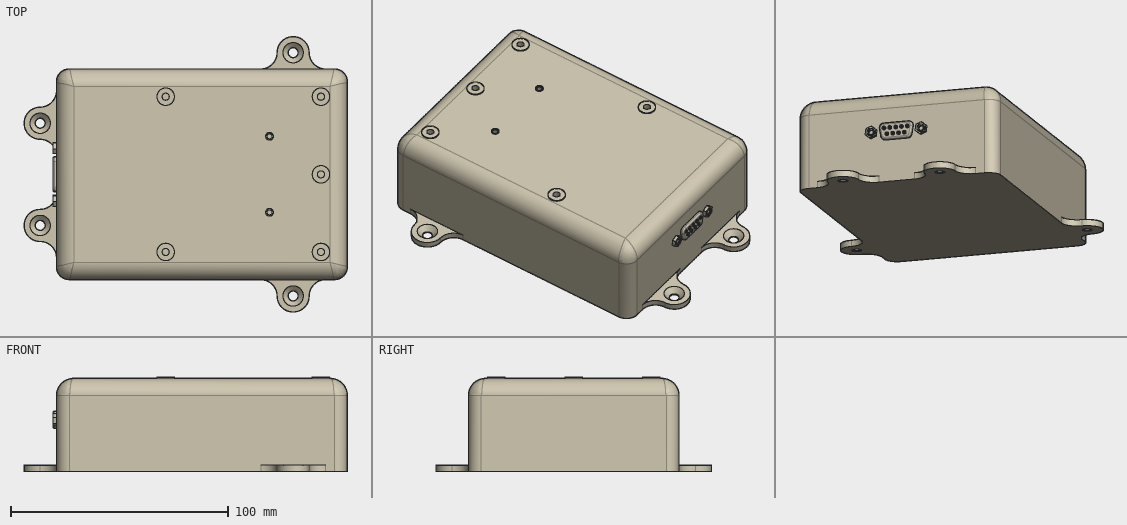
import cadquery as cq
import math

OVERALL_LENGTH = 149.0
OVERALL_WIDTH = 127.0
OVERALL_HEIGHT = 43.5

EAR_RADIUS = 7.5
EAR_REACH = 2 * EAR_RADIUS
EAR_THICKNESS = 3.0
EAR_INSET = 25.0
EAR_HOLE_DIAMETER = 4.5
EAR_SINK_DIAMETER = 9.4
EAR_SINK_ANGLE = 90.0

SCREW_PAD_HEIGHT = 0.5
BODY_LENGTH = OVERALL_LENGTH - EAR_REACH
BODY_WIDTH = OVERALL_WIDTH - 2 * EAR_REACH
BODY_HEIGHT = OVERALL_HEIGHT - SCREW_PAD_HEIGHT
CORNER_RADIUS = 6.0
TOP_EDGE_RADIUS = 8.0

SCREW_INSET = 12.2
SCREW_SPACING = 71.5
SCREW_PAD_DIAMETER = 8.0
SCREW_HOLE_DIAMETER = 3.3
SCREW_HOLE_DEPTH = 3.7

LIGHT_INSET = 35.9
LIGHT_SPACING = 35.0
LIGHT_MOUTH_DIAMETER = 3.6
LIGHT_MOUTH_DEPTH = 0.5
LIGHT_HOLE_DIAMETER = 2.4
LIGHT_HOLE_DEPTH = 3.0

CONNECTOR_HEIGHT = 23.8
CONNECTOR_REACH = 1.6
SHELL_TOP_WIDTH = 17.1
SHELL_HEIGHT = 8.0
SHELL_SIDE_ANGLE = 10.0
SHELL_CORNER_RADIUS = 2.2
SHELL_EDGE_RADIUS = 0.9
CONTACT_PITCH = 2.8
CONTACT_MOUTH_DIAMETER = 1.6
CONTACT_MOUTH_DEPTH = 0.5
CONTACT_HOLE_DIAMETER = 1.0
CONTACT_HOLE_DEPTH = 1.5
CONTACTS_PER_ROW = (5, 4)
NUT_SPACING = 24.3
NUT_FLATS = 4.9
NUT_TILT = 8.0
NUT_MOUTH_DIAMETER = 3.6
NUT_MOUTH_DEPTH = 0.5
NUT_HOLE_DIAMETER = 2.4
NUT_HOLE_DEPTH = 1.5

RIGHT_WALL = BODY_LENGTH / 2
LEFT_WALL = -RIGHT_WALL
SIDE_WALL = BODY_WIDTH / 2


def make_body():
    block = cq.Workplane("XY").box(BODY_LENGTH, BODY_WIDTH, BODY_HEIGHT, centered=(True, True, False))
    return block.faces(">Z").edges().fillet(TOP_EDGE_RADIUS).edges("|Z").fillet(CORNER_RADIUS)


def make_ear(x, y, turn):
    """Ear rooted on a wall at (x, y) and turned about Z; unturned it points toward +Y."""
    r = EAR_RADIUS
    diagonal = r * math.sqrt(0.5)
    ear = (
        cq.Workplane("XY")
        .moveTo(-2 * r, 0)
        .threePointArc((-2 * r + diagonal, r - diagonal), (-r, r))
        .threePointArc((0, 2 * r), (r, r))
        .threePointArc((2 * r - diagonal, r - diagonal), (2 * r, 0))
        .lineTo(2 * r, -r)
        .lineTo(-2 * r, -r)
        .close()
        .extrude(EAR_THICKNESS)
        .faces(">Z")
        .workplane(origin=(0, r, EAR_THICKNESS))
        .cskHole(EAR_HOLE_DIAMETER, EAR_SINK_DIAMETER, EAR_SINK_ANGLE)
    )
    return ear.rotate((0, 0, 0), (0, 0, 1), turn).translate((x, y, 0))


def on_lid(offset=0.0):
    return cq.Workplane("XY").workplane(offset=BODY_HEIGHT + offset)


def cut_stepped_holes(part, face, points, mouth_diameter, mouth_depth, hole_diameter, hole_depth):
    """Sink holes into a face, each with a wider round mouth."""
    mouths = face.pushPoints(points).circle(mouth_diameter / 2).extrude(-mouth_depth)
    holes = face.pushPoints(points).circle(hole_diameter / 2).extrude(-hole_depth)
    return part.cut(mouths).cut(holes)


def add_screws(part):
    right = RIGHT_WALL - SCREW_INSET
    half_spacing = SCREW_SPACING / 2
    points = [(x, y) for x in (right - SCREW_SPACING, right) for y in (-half_spacing, half_spacing)]
    points.append((right, 0))
    pads = on_lid().pushPoints(points).circle(SCREW_PAD_DIAMETER / 2).extrude(SCREW_PAD_HEIGHT)
    pad_tops = on_lid(SCREW_PAD_HEIGHT)
    holes = pad_tops.pushPoints(points).circle(SCREW_HOLE_DIAMETER / 2).extrude(-SCREW_HOLE_DEPTH)
    return part.union(pads).cut(holes)


def cut_lights(part):
    x = RIGHT_WALL - LIGHT_INSET
    points = [(x, -LIGHT_SPACING / 2), (x, LIGHT_SPACING / 2)]
    return cut_stepped_holes(
        part,
        on_lid(),
        points,
        LIGHT_MOUTH_DIAMETER,
        LIGHT_MOUTH_DEPTH,
        LIGHT_HOLE_DIAMETER,
        LIGHT_HOLE_DEPTH,
    )


def on_left_wall(outward=0.0):
    """Plane facing -X through the connector's middle; its local axes are -Y and Z."""
    origin = (LEFT_WALL - outward, 0, CONNECTOR_HEIGHT)
    return cq.Workplane(cq.Plane(origin=origin, xDir=(0, -1, 0), normal=(-1, 0, 0)))


def make_shell():
    half_top = SHELL_TOP_WIDTH / 2
    half_bottom = half_top - SHELL_HEIGHT * math.tan(math.radians(SHELL_SIDE_ANGLE))
    half_height = SHELL_HEIGHT / 2
    corners = [
        (-half_top, half_height),
        (half_top, half_height),
        (half_bottom, -half_height),
        (-half_bottom, -half_height),
    ]
    return (
        on_left_wall()
        .polyline(corners)
        .close()
        .extrude(CONNECTOR_REACH)
        .edges("|X")
        .fillet(SHELL_CORNER_RADIUS)
        .faces("<X")
        .edges()
        .fillet(SHELL_EDGE_RADIUS)
    )


def contact_points():
    points = []
    for count, height in zip(CONTACTS_PER_ROW, (CONTACT_PITCH / 2, -CONTACT_PITCH / 2)):
        for i in range(count):
            points.append(((i - (count - 1) / 2) * CONTACT_PITCH, height))
    return points


def make_nut(offset):
    corner_diameter = NUT_FLATS / math.cos(math.pi / 6)
    return (
        on_left_wall()
        .center(offset, 0)
        .transformed(rotate=(0, 0, 90 - NUT_TILT))
        .polygon(6, corner_diameter)
        .extrude(CONNECTOR_REACH)
    )


def add_connector(part):
    nut_offsets = (-NUT_SPACING / 2, NUT_SPACING / 2)
    nut_points = [(offset, 0) for offset in nut_offsets]
    part = part.union(make_shell())
    for offset in nut_offsets:
        part = part.union(make_nut(offset))
    front = on_left_wall(CONNECTOR_REACH)
    part = cut_stepped_holes(
        part,
        front,
        contact_points(),
        CONTACT_MOUTH_DIAMETER,
        CONTACT_MOUTH_DEPTH,
        CONTACT_HOLE_DIAMETER,
        CONTACT_HOLE_DEPTH,
    )
    return cut_stepped_holes(
        part,
        front,
        nut_points,
        NUT_MOUTH_DIAMETER,
        NUT_MOUTH_DEPTH,
        NUT_HOLE_DIAMETER,
        NUT_HOLE_DEPTH,
    )


result = make_body()
for side in (-1, 1):
    turn_outward = 90 - 90 * side
    result = result.union(make_ear(LEFT_WALL, side * (SIDE_WALL - EAR_INSET), 90))
    result = result.union(make_ear(RIGHT_WALL - EAR_INSET, side * SIDE_WALL, turn_outward))
result = add_screws(result)
result = cut_lights(result)
result = add_connector(result)